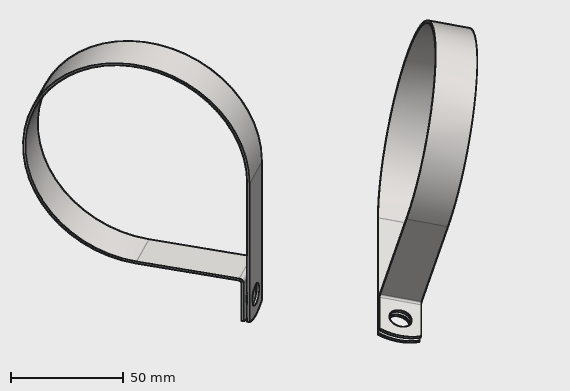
import cadquery as cq
import math

height = 129.0
outer_diameter = 105.6
band_width = 19.1
thickness = 1.2
tab_gap = 1.5
bend_outer_radius = 2.2
bend_inner_radius = bend_outer_radius - thickness

hole_diameter = 10.3
hole_height = 11.1
tab_end_rise = 2.2

outer_radius = outer_diameter / 2
inner_radius = outer_radius - thickness
loop_center_z = height - outer_radius
loop_bottom_z = loop_center_z - outer_radius
short_tab_outer_x = inner_radius - tab_gap
short_tab_inner_x = short_tab_outer_x - thickness
bend_center_x = short_tab_outer_x - bend_outer_radius
bend_center_z = loop_bottom_z + thickness - bend_outer_radius
diagonal = math.sqrt(0.5)


def make_band():
    """Loop, flat bottom run and both tabs, extruded across the band width."""
    profile = (
        cq.Workplane("XZ")
        .moveTo(outer_radius, 0)
        .lineTo(outer_radius, loop_center_z)
        .threePointArc(
            (-outer_radius * diagonal, loop_center_z + outer_radius * diagonal),
            (0, loop_bottom_z),
        )
        .lineTo(bend_center_x, loop_bottom_z)
        .threePointArc(
            (bend_center_x + bend_inner_radius * diagonal, bend_center_z + bend_inner_radius * diagonal),
            (short_tab_inner_x, bend_center_z),
        )
        .lineTo(short_tab_inner_x, 0)
        .lineTo(short_tab_outer_x, 0)
        .lineTo(short_tab_outer_x, bend_center_z)
        .threePointArc(
            (bend_center_x + bend_outer_radius * diagonal, bend_center_z + bend_outer_radius * diagonal),
            (bend_center_x, loop_bottom_z + thickness),
        )
        .lineTo(0, loop_bottom_z + thickness)
        .threePointArc(
            (-inner_radius * diagonal, loop_center_z + inner_radius * diagonal),
            (inner_radius, loop_center_z),
        )
        .lineTo(inner_radius, 0)
        .close()
    )
    return profile.extrude(band_width / 2, both=True)


def make_tab_outline():
    """Block across the band with a rounded lower end, to trim both tabs."""
    half_width = band_width / 2
    return (
        cq.Workplane("YZ")
        .moveTo(-half_width, tab_end_rise)
        .threePointArc((0, 0), (half_width, tab_end_rise))
        .lineTo(half_width, height)
        .lineTo(-half_width, height)
        .close()
        .extrude(outer_diameter, both=True)
    )


def make_tab_hole():
    """Bolt hole running through both tabs."""
    return (
        cq.Workplane("YZ")
        .center(0, hole_height)
        .circle(hole_diameter / 2)
        .extrude(outer_diameter)
    )


result = make_band().intersect(make_tab_outline()).cut(make_tab_hole())